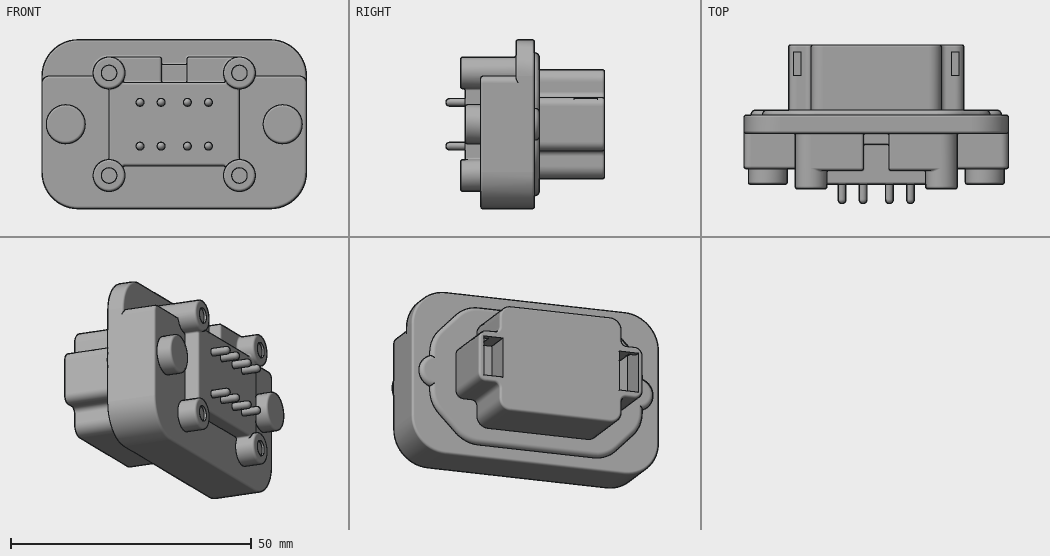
import cadquery as cq
import math


flange_width = 55.12
flange_height = 35.25
overall_depth = 33.09
overlap = 1.0
tolerance = 0.02
corner_radius = 7.6
flange_front = -3.85
body_front = -11.2
body_top = flange_height / 2 - corner_radius
body_top_corner_radius = 1.5
body_root = -overlap
edge_radius = 0.5
root_radius = 0.38

gasket_thickness = 1.03
gasket_width = 47.4
gasket_height = 29.8
gasket_corner_cut = 7.9
gasket_corner_radius = 7.1
gasket_lobe_radius = 3.5
gasket_edge_radius = 1.0

shroud_rear = 14.62
shroud_core_width = 27.14
shroud_core_height = 22.74
shroud_core_radius = 2.5
shroud_wing_width = 36.5
shroud_wing_height = 11.08
shroud_wing_radius = 1.75
shroud_neck_radius = 1.15
window_width = 1.58
window_length = 4.9
window_offset = 16.47
window_setback = 1.5
window_wall = 1.3
pocket_inner_x = 13.0

pad_height = 17.34
pad_front = -14.47
post_radius = 3.32
post_x = 13.58
post_z = 10.68
post_front = -15.4
post_hole_radius = 1.62
post_hole_depth = 0.5
pad_width = 2 * post_x
block_top = post_z + post_radius
block_front = -11.55
block_edge_radius = 0.5
block_gap = 5.26

rib_top = 12.41
rib_front = -6.1
rib_radius = 0.25

stud_radius = 4.07
stud_x = 22.6

pin_radius = 0.82
pin_tip = shroud_rear - overall_depth
pin_columns = (-7.13, -2.74, 2.74, 7.13)
pin_rows = (-4.56, 4.56)


def plane_at(y):
    """Workplane facing -Y at the given Y, with local axes along X and Z."""
    return cq.Workplane("XZ", origin=(0, y, 0))


def box(x_min, x_max, y_min, y_max, z_min, z_max):
    """Box given by its limits along each axis."""
    size = (x_max - x_min, y_max - y_min, z_max - z_min)
    return cq.Workplane("XY").box(*size, centered=False).translate((x_min, y_min, z_min))


def rounded_cylinder(x, z, radius, rear, front):
    """Cylinder along Y with a rounded front edge."""
    cylinder = plane_at(rear).center(x, z).circle(radius).extrude(rear - front)
    return cylinder.faces("<Y").edges().fillet(edge_radius)


def make_flange():
    plate = plane_at(0).rect(flange_width, flange_height).extrude(-flange_front)
    plate = plate.edges("|Y").fillet(corner_radius)
    return plate.faces("|Y").edges().fillet(edge_radius)


def make_body():
    height = body_top + flange_height / 2
    center_z = body_top - height / 2
    body = plane_at(body_root).center(0, center_z).rect(flange_width, height).extrude(body_root - body_front)
    body = body.edges("|Y and <Z").fillet(corner_radius)
    body = body.edges("|Y and >Z").fillet(body_top_corner_radius)
    return body.faces("<Y").edges().fillet(edge_radius)


def make_gasket():
    outline = plane_at(gasket_thickness).rect(gasket_width, gasket_height).extrude(gasket_thickness)
    outline = outline.edges("|Y").chamfer(gasket_corner_cut)
    outline = outline.edges("|Y").fillet(gasket_corner_radius)
    lobes = plane_at(gasket_thickness).pushPoints([(-stud_x, 0), (stud_x, 0)])
    outline = outline.union(lobes.circle(gasket_lobe_radius).extrude(gasket_thickness))
    return outline.faces(">Y").edges().fillet(gasket_edge_radius)


def make_shroud():
    """Cross-shaped block made of a tall core and a low, wide pair of wings."""
    def rounded_bar(width, height, radius):
        return plane_at(shroud_rear).rect(width, height).extrude(shroud_rear).edges("|Y").fillet(radius)

    shroud = rounded_bar(shroud_core_width, shroud_core_height, shroud_core_radius)
    shroud = shroud.union(rounded_bar(shroud_wing_width, shroud_wing_height, shroud_wing_radius))
    for x in (-shroud_core_width / 2, shroud_core_width / 2):
        for z in (-shroud_wing_height / 2, shroud_wing_height / 2):
            corner = cq.selectors.NearestToPointSelector((x, shroud_rear / 2, z))
            shroud = shroud.edges("|Y").edges(corner).fillet(shroud_neck_radius)
    return shroud.faces(">Y").edges().fillet(edge_radius)


def make_latch_opening(side):
    """Pocket open to the rear of a wing, reached from the wing top through a window."""
    window_rear = shroud_rear - window_setback
    window_front = window_rear - window_length
    window_outer_x = window_offset + window_width / 2
    window_inner_x = window_offset - window_width / 2
    wing_top = shroud_wing_height / 2
    pocket_top = wing_top - window_wall
    opening = box(window_inner_x, window_outer_x, window_front, window_rear, 0, wing_top + overlap)
    opening = opening.union(box(pocket_inner_x, window_outer_x, window_front, shroud_rear + overlap,
                                -pocket_top, pocket_top))
    return opening if side > 0 else opening.mirror("YZ")


def make_pad():
    """Raised pad whose lower corners blend into the lower posts."""
    depth = flange_front - pad_front
    pad = plane_at(flange_front).rect(pad_width, pad_height).extrude(depth)
    lower_posts = plane_at(flange_front).pushPoints([(-post_x, -post_z), (post_x, -post_z)])
    pad = pad.union(lower_posts.circle(post_radius).extrude(depth))
    pad_bottom = -pad_height / 2
    post_top = post_radius - post_z
    bottom_x = post_x - math.sqrt(post_radius ** 2 - (pad_bottom + post_z) ** 2)
    corners = []
    for side in (-1, 1):
        for x, z in ((side * post_x, post_top), (side * bottom_x, pad_bottom)):
            near = cq.selectors.NearestToPointSelector((x, flange_front - depth / 2, z))
            corners += pad.edges("|Y").edges(near).vals()
    pad = pad.newObject(corners).fillet(root_radius)
    return pad.faces("<Y").edges().fillet(edge_radius)


def make_block(side):
    """Shoulder block between the central gap and an upper post."""
    x_inner = side * block_gap / 2
    x_outer = side * post_x
    block = box(min(x_inner, x_outer), max(x_inner, x_outer),
                block_front, body_root, pad_height / 2 - overlap, block_top)
    inner_side = "<X" if side > 0 else ">X"
    edges = block.faces(inner_side).edges(">Z or <Y").vals()
    edges += block.faces("<Y").edges(">Z").vals()
    return block.newObject(edges).fillet(block_edge_radius)


def make_pin(x, z):
    """Contact pin with a hemispherical tip."""
    tip_center = pin_tip + pin_radius
    root = pad_front + overlap
    shank = plane_at(root).center(x, z).circle(pin_radius).extrude(root - tip_center)
    tip = plane_at(tip_center).center(x, z).sphere(pin_radius)
    return shank.union(tip)


def edges_inside(part, x_limit, y_min, y_max, z_min, z_max):
    """Edges of the part lying wholly inside a box centred on the middle plane."""
    low = (-x_limit - tolerance, y_min - tolerance, z_min - tolerance)
    high = (x_limit + tolerance, y_max + tolerance, z_max + tolerance)
    return part.edges(cq.selectors.BoxSelector(low, high, boundingbox=True)).vals()


def root_edges(part):
    """Inner corners around the shoulder blocks, the rib and the upper posts."""
    post_reach = post_x + post_radius
    pad_top = pad_height / 2
    gap_side = block_gap / 2
    pad_flat_front = pad_front + edge_radius

    flange_foot = edges_inside(part, post_reach, flange_front, flange_front, body_top, block_top)
    pad_foot = edges_inside(part, post_x, pad_flat_front, flange_front, pad_top, pad_top)
    rib_ends = edges_inside(part, gap_side, rib_front, flange_front, pad_top, rib_top)
    block_face = edges_inside(part, post_x, block_front, block_front, pad_top, block_top)

    edges = flange_foot
    edges += [edge for edge in pad_foot if edge.Center().y > pad_flat_front + tolerance]
    edges += [edge for edge in rib_ends if abs(edge.Center().x) > gap_side - tolerance]
    edges += [edge for edge in block_face if edge.geomType() == "CIRCLE"]
    unique = []
    for edge in edges:
        if not any(edge.isSame(other) for other in unique):
            unique.append(edge)
    return unique


def make_front():
    """Flange, body and everything in front of it except the pins and studs."""
    part = make_flange().union(make_body())
    cut_x = block_gap / 2 + block_edge_radius
    part = part.cut(box(-cut_x, cut_x, body_front - overlap, flange_front, pad_height / 2, body_top + overlap))
    part = part.union(make_pad())
    rib = box(-block_gap / 2, block_gap / 2, rib_front, body_root, 0, rib_top)
    part = part.union(rib.edges(">Z and <Y").fillet(rib_radius))
    for side in (-1, 1):
        part = part.union(make_block(side))
        for z in (-post_z, post_z):
            part = part.union(rounded_cylinder(side * post_x, z, post_radius, body_root, post_front))
    return part.newObject(root_edges(part)).fillet(root_radius)


def make_post_hole(x, z):
    """Shallow blind hole in the front end of a post."""
    return plane_at(post_front).center(x, z).circle(post_hole_radius).extrude(-post_hole_depth)


part = make_front().union(make_gasket()).union(make_shroud())
for side in (-1, 1):
    part = part.union(rounded_cylinder(side * stud_x, 0, stud_radius, body_root, pad_front))
    part = part.cut(make_latch_opening(side))
    for z in (-post_z, post_z):
        part = part.cut(make_post_hole(side * post_x, z))
for x in pin_columns:
    for z in pin_rows:
        part = part.union(make_pin(x, z))
result = part